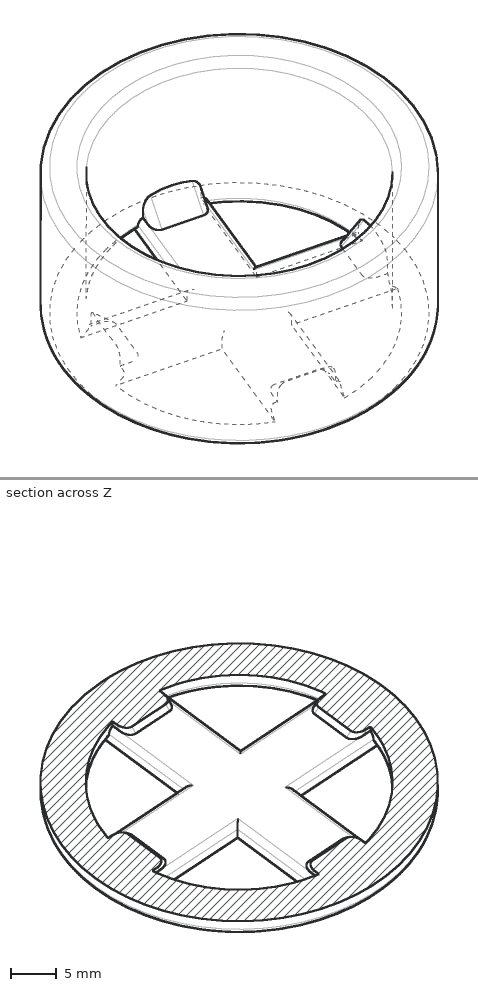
import cadquery as cq

outer_radius = 43.5 / 2
bore_radius = 33.5 / 2
height = 22.0
edge_radius = 1.0
bottom_chamfer = 1.0

bar_width = 8.5
bar_thickness = 2.0
bar_edge_radius = 0.7
anchor_radius = (outer_radius + bore_radius) / 2

rib_reach = 3.0
rib_edge_radius = 1.0
rib_width = bar_width - 2 * bar_edge_radius
rib_count = 4


def make_ring():
    """Ring with rounded top rims and bottom chamfers that blend into the walls."""
    ring = cq.Workplane("XY").circle(outer_radius).circle(bore_radius).extrude(height)
    ring = ring.faces("<Z").edges().chamfer(bottom_chamfer)
    around_shoulders = cq.selectors.BoxSelector(
        (-outer_radius, -outer_radius, bottom_chamfer / 2),
        (outer_radius, outer_radius, bottom_chamfer * 3 / 2),
    )
    ring = ring.edges("%CIRCLE").edges(around_shoulders).fillet(edge_radius)
    return ring.faces(">Z").edges().fillet(edge_radius)


def make_cross():
    """Two crossing bars with rounded upper edges."""
    bar_length = 2 * anchor_radius
    bar_x = cq.Workplane("XY").rect(bar_length, bar_width).extrude(bar_thickness)
    bar_y = cq.Workplane("XY").rect(bar_width, bar_length).extrude(bar_thickness)
    return bar_x.union(bar_y).faces(">Z").edges().fillet(bar_edge_radius)


def make_rib():
    """Wedge on the +X bar end, with its two sloping edges rounded."""
    toe_x = bore_radius - rib_reach
    run = anchor_radius - toe_x
    wedge = (
        cq.Workplane("XZ")
        .moveTo(toe_x, bar_thickness)
        .lineTo(anchor_radius, bar_thickness)
        .lineTo(anchor_radius, bar_thickness + run)
        .close()
        .extrude(rib_width / 2, both=True)
    )
    sloping_edges = wedge.faces("<(1, 0, -1)").edges("not |Y")
    return sloping_edges.fillet(rib_edge_radius)


result = make_ring().union(make_cross())
rib = make_rib()
for index in range(rib_count):
    turn = index * 360 / rib_count
    result = result.union(rib.rotate((0, 0, 0), (0, 0, 1), turn))